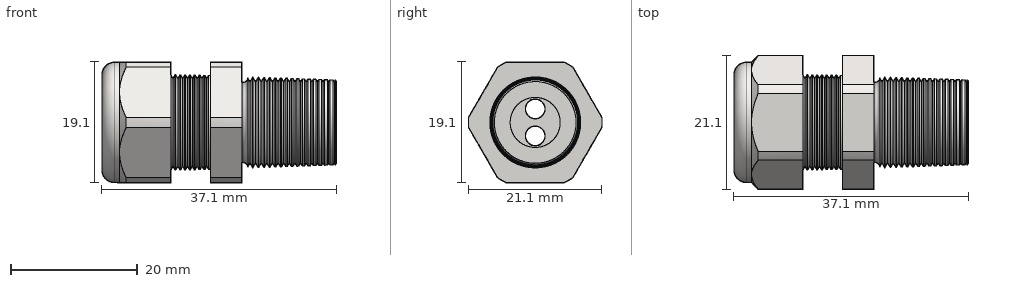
import cadquery as cq
import math

total_length = 37.08
across_flats = 19.05
across_corners = 21.14
hex_sides = 6
hex_turn = 180 / hex_sides

cap_length = 10.9
dome_radius = across_flats / 2
dome_fillet = 2.05
dome_length = 2.8

hex_start = 17.15
hex_width = 4.95
hex_end = hex_start + hex_width

groove_half_angle = math.radians(30)
largest_groove_share = 0.98

cap_thread_pitch = 0.76
cap_thread_count = 8
cap_thread_first_groove = 11.25
cap_thread_root_radius = 6.95
cap_thread_start_radius = 7.55
cap_thread_end_radius = 7.43

end_thread_pitch = 0.888
end_thread_count = 16
end_thread_first_groove = 23.39
end_thread_root_radius = 6.42
end_thread_start_radius = 7.24
end_thread_end_radius = 6.7
end_chamfer = 0.25

relief_radius = 6.35
relief_flat = 0.2
flare_radius = 0.75

insert_radius = 3.95
recess_radius = 3.66
recess_depth = 0.45
cable_hole_diameter = 3.06
cable_hole_offset = recess_radius - cable_hole_diameter / 2


def cylinder(start, end, radius):
    return cq.Workplane("YZ", origin=(start, 0, 0)).circle(radius).extrude(end - start)


def hexagon(start, end):
    """Hexagonal prism with flats facing +Z and -Z, its corners rounded to across_corners."""
    flats = (
        cq.Workplane("YZ", origin=(start, 0, 0))
        .polygon(hex_sides, across_flats, circumscribed=True)
        .extrude(end - start)
        .rotate((0, 0, 0), (1, 0, 0), hex_turn)
    )
    return flats.intersect(cylinder(start, end, across_corners / 2))


def revolve_profile(profile):
    """Close the outline and turn it a full circle about the X axis."""
    return profile.close().revolve(360, (0, 0, 0), (1, 0, 0))


def taper_radius(x, start, end, start_radius, end_radius):
    """Radius at x of a cone running from start to end."""
    fraction = (x - start) / (end - start)
    return start_radius + fraction * (end_radius - start_radius)


def groove_points(first, pitch, count, root_radius, crest_radius_at):
    """Outline points of a row of V grooves, each cut down from the local crest line."""
    points = []
    for index in range(count):
        root_x = first + index * pitch
        depth = crest_radius_at(root_x) - root_radius
        half_width = min(depth * math.tan(groove_half_angle), largest_groove_share * pitch / 2)
        left_x = root_x - half_width
        right_x = root_x + half_width
        points.append((left_x, crest_radius_at(left_x)))
        points.append((root_x, root_radius))
        points.append((right_x, crest_radius_at(right_x)))
    return points


def make_cap():
    hex_part = hexagon(dome_length, cap_length)
    corner_radius = across_corners / 2
    chamfer_end = dome_length + corner_radius - dome_radius
    envelope = revolve_profile(
        cq.Workplane("XY")
        .moveTo(dome_length, 0)
        .lineTo(dome_length, dome_radius)
        .lineTo(chamfer_end, corner_radius)
        .lineTo(cap_length, corner_radius)
        .lineTo(cap_length, 0)
    )
    dome = cylinder(0, dome_length, dome_radius).faces("<X").edges().fillet(dome_fillet)
    return hex_part.intersect(envelope).union(dome)


def make_cap_thread():
    def crest_radius_at(x):
        return taper_radius(x, cap_length, hex_start, cap_thread_start_radius, cap_thread_end_radius)

    grooves = groove_points(
        cap_thread_first_groove, cap_thread_pitch, cap_thread_count, cap_thread_root_radius, crest_radius_at
    )
    return revolve_profile(
        cq.Workplane("XY").polyline(
            [(cap_length, 0), (cap_length, crest_radius_at(cap_length))]
            + grooves
            + [(hex_start, crest_radius_at(hex_start)), (hex_start, 0)]
        )
    )


def make_end_thread():
    def crest_radius_at(x):
        return taper_radius(x, hex_end, total_length, end_thread_start_radius, end_thread_end_radius)

    grooves = groove_points(
        end_thread_first_groove, end_thread_pitch, end_thread_count, end_thread_root_radius, crest_radius_at
    )
    thread = revolve_profile(
        cq.Workplane("XY").polyline(
            [(hex_end, 0), (hex_end, crest_radius_at(hex_end))]
            + grooves
            + [
                (total_length - end_chamfer, crest_radius_at(total_length - end_chamfer)),
                (total_length, crest_radius_at(total_length) - end_chamfer),
                (total_length, 0),
            ]
        )
    )
    flare_start = hex_end + relief_flat
    flare_top = relief_radius + flare_radius
    clear_radius = across_flats / 2
    flare_middle = (
        flare_start + flare_radius * math.sin(math.pi / 4),
        flare_top - flare_radius * math.cos(math.pi / 4),
    )
    relief = revolve_profile(
        cq.Workplane("XY")
        .moveTo(hex_end, relief_radius)
        .lineTo(flare_start, relief_radius)
        .threePointArc(flare_middle, (flare_start + flare_radius, flare_top))
        .lineTo(flare_start + flare_radius, clear_radius)
        .lineTo(hex_end, clear_radius)
    )
    return thread.cut(relief)


def make_gland():
    """Cap, both threads and the body hexagon, bored through for the insert."""
    outside = make_cap().union(make_cap_thread()).union(hexagon(hex_start, hex_end)).union(make_end_thread())
    return outside.cut(cylinder(0, total_length, insert_radius))


def make_insert():
    """Plug with a shallow recess in its front face and two cable holes."""
    plug = cylinder(0, total_length, insert_radius).cut(cylinder(0, recess_depth, recess_radius))
    holes = (
        cq.Workplane("YZ")
        .pushPoints([(0, cable_hole_offset), (0, -cable_hole_offset)])
        .circle(cable_hole_diameter / 2)
        .extrude(total_length)
    )
    return plug.cut(holes)


gland = make_gland()
insert = make_insert()
result = cq.Compound.makeCompound([gland.val(), insert.val()])